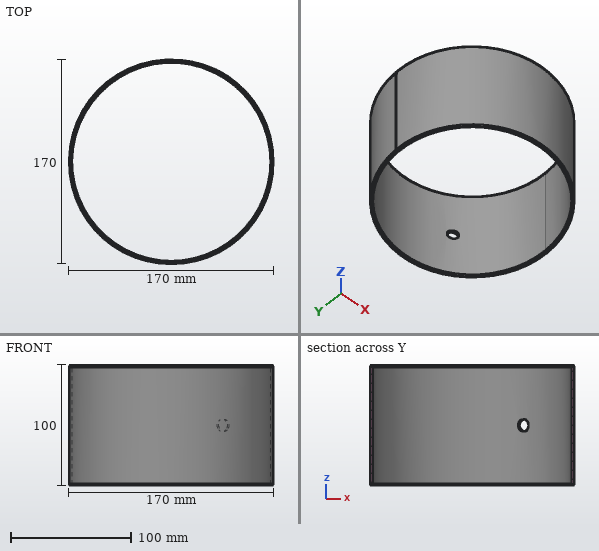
import cadquery as cq

outer_diameter = 170
height = 100.0
wall = 2.5
outer_radius = outer_diameter / 2
inner_radius = outer_radius - wall

bevel_height = 1.7
bevel_depth = 0.8

slit_width = 1.45

hole_diameter = 10.0
hole_angle = 59


def make_sleeve():
    """Revolve the wall section, with all four corners bevelled, about Z."""
    half_height = height / 2
    rim_outer_radius = outer_radius - bevel_depth
    rim_inner_radius = inner_radius + bevel_depth
    bevel_start = half_height - bevel_height
    section = (
        cq.Workplane("XZ")
        .moveTo(rim_inner_radius, -half_height)
        .lineTo(rim_outer_radius, -half_height)
        .lineTo(outer_radius, -bevel_start)
        .lineTo(outer_radius, bevel_start)
        .lineTo(rim_outer_radius, half_height)
        .lineTo(rim_inner_radius, half_height)
        .lineTo(inner_radius, bevel_start)
        .lineTo(inner_radius, -bevel_start)
        .close()
    )
    return section.revolve(360, (0, 0, 0), (0, 1, 0))


def make_slit():
    """Block that splits the wall along its full height on the -X side."""
    block = cq.Workplane("XY").box(outer_diameter, slit_width, height)
    return block.translate((-outer_radius, slit_width / 2, 0))


def make_hole():
    """Cylinder running from the axis out through one side of the wall."""
    drill = cq.Workplane("YZ").circle(hole_diameter / 2).extrude(outer_diameter)
    return drill.rotate((0, 0, 0), (0, 0, 1), hole_angle)


result = make_sleeve().cut(make_slit()).cut(make_hole())